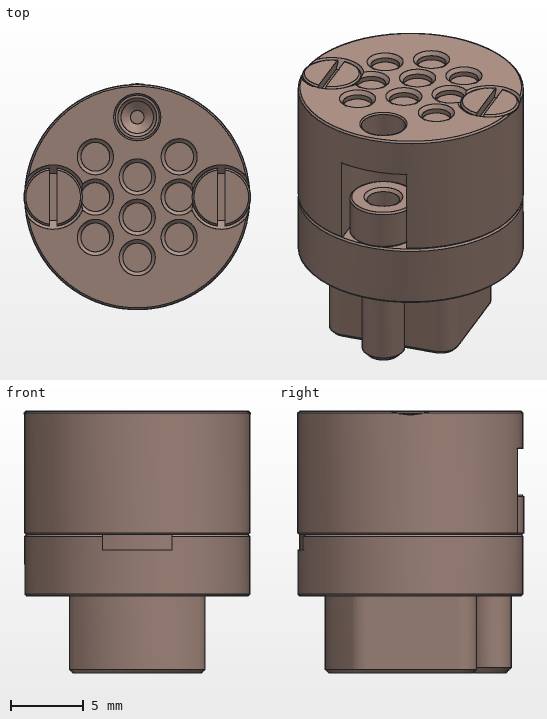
import cadquery as cq
import math

height = 18.03
stem_height = 5.32
seam_z = 9.54
key_depth = 1.06

body_radius = 7.75
edge_chamfer = 0.13
core_radius = body_radius - edge_chamfer
notch_width = 4.76

stem_radius = 5.86
stem_half_width = 4.67
stem_flat_y = 4.56
stem_corner_radius = 1.26
stem_chamfer = 0.27

jack_y = 5.5
pin_radius = 1.46
pin_chamfer = 0.4
knob_radius = 2.3
knob_height = 2.74
knob_chamfer = 0.13
window_top_depth = 2.56
bore_radius = 1.51
bore_chamfer = 0.1
thread_radius = 1.12
thread_chamfer = 0.22
thread_depth = 2.16
cone_tip_radius = 0.47
cone_slope = 31.0

contact_radius = 1.0
contact_chamfer = 0.25
contact_depth = 0.58
column_pitch = 2.88
row_pitch = 2.78

width_over_screws = 15.6
screw_x = 5.79
screw_radius = width_over_screws / 2 - screw_x
screw_top_chamfer = 0.13
countersink_radius = 2.22
slot_width = 0.52
slot_depth = 0.6


def cylinder(radius, z_low, z_high, x=0.0, y=0.0):
    """Vertical cylinder between two levels."""
    return cq.Workplane("XY", origin=(x, y, z_low)).circle(radius).extrude(z_high - z_low)


def frustum(low_radius, high_radius, z_low, z_high, x=0.0, y=0.0):
    """Vertical truncated cone between two levels."""
    cone = cq.Solid.makeCone(
        low_radius, high_radius, z_high - z_low, cq.Vector(x, y, z_low), cq.Vector(0, 0, 1)
    )
    return cq.Workplane(obj=cone)


def make_stem():
    """Stem with flat sides and back, a round front and rounded corners."""
    slab = (
        cq.Workplane("XY")
        .center(0, (stem_flat_y - stem_radius) / 2)
        .rect(2 * stem_half_width, stem_radius + stem_flat_y)
        .extrude(stem_height)
    )
    back = (
        cq.Workplane("XY")
        .center(0, stem_flat_y / 2)
        .rect(2 * stem_half_width, stem_flat_y)
        .extrude(stem_height)
    )
    stem = slab.intersect(cylinder(stem_radius, 0, stem_height).union(back)).clean()
    return stem.edges("|Z").fillet(stem_corner_radius).faces("<Z").chamfer(stem_chamfer)


def make_shells():
    """Flange and upper shell, parted by a chamfered groove."""
    flange = cylinder(body_radius, stem_height, seam_z).faces("<Z or >Z").chamfer(edge_chamfer)
    shell = cylinder(body_radius, seam_z, height).faces("<Z or >Z").chamfer(edge_chamfer)
    return flange.union(shell)


def make_key_notch():
    """Shallow notch in the flange rim on -Y, as deep as the core."""
    z_low = seam_z - key_depth
    block = (
        cq.Workplane("XY", origin=(0, -body_radius / 2, z_low))
        .rect(notch_width, body_radius)
        .extrude(key_depth)
    )
    return block.cut(cylinder(core_radius, z_low, seam_z))


def make_window():
    """Round-ended side window that houses the knob."""
    z_high = height - window_top_depth
    opening = (
        cq.Workplane("XY", origin=(0, jack_y + body_radius / 2, seam_z))
        .rect(notch_width, body_radius)
        .extrude(z_high - seam_z)
    )
    return opening.union(cylinder(notch_width / 2, seam_z, z_high, y=jack_y))


def make_jackscrew():
    """Knob resting on the flange and pin running down beside the stem."""
    knob = cylinder(knob_radius, seam_z, seam_z + knob_height, y=jack_y)
    knob = knob.faces("<Z or >Z").chamfer(knob_chamfer)
    pin = cylinder(pin_radius, 0, seam_z, y=jack_y).faces("<Z").chamfer(pin_chamfer)
    return knob.union(pin)


def make_jack_bore():
    """Access bore above the knob, then a narrower chamfered hole with a conical end."""
    knob_top = seam_z + knob_height
    thread_end = knob_top - thread_depth
    cone_depth = (thread_radius - cone_tip_radius) * math.tan(math.radians(cone_slope))
    bore = cylinder(bore_radius, knob_top, height, y=jack_y)
    mouth = frustum(
        bore_radius, bore_radius + bore_chamfer, height - bore_chamfer, height, y=jack_y
    )
    thread = cylinder(thread_radius, thread_end, knob_top, y=jack_y)
    thread_mouth = frustum(
        thread_radius, thread_radius + thread_chamfer, knob_top - thread_chamfer, knob_top, y=jack_y
    )
    cone = frustum(cone_tip_radius, thread_radius, thread_end - cone_depth, thread_end, y=jack_y)
    return bore.union(mouth).union(thread).union(thread_mouth).union(cone)


def make_contact_hole(x, y):
    """Blind contact hole with a countersunk mouth."""
    hole = cylinder(contact_radius, height - contact_depth, height, x, y)
    mouth_radius = contact_radius + contact_chamfer
    return hole.union(
        frustum(contact_radius, mouth_radius, height - contact_chamfer, height, x, y)
    )


def contact_points():
    """Three staggered columns of three contacts; the middle one sits half a row lower."""
    points = []
    for row in (-1, 0, 1):
        points.append((-column_pitch, row * row_pitch))
        points.append((0.0, (row - 0.5) * row_pitch))
        points.append((column_pitch, row * row_pitch))
    return points


def make_countersink(x):
    """45 degree countersink as deep as the screw slot."""
    low_radius = countersink_radius - slot_depth
    return frustum(low_radius, countersink_radius, height - slot_depth, height, x)


def make_screw_head(x):
    """Flush screw head filling its countersink, with a chamfered rim and a slot."""
    head = cylinder(screw_radius, height - slot_depth, height, x).faces(">Z").chamfer(screw_top_chamfer)
    slot = (
        cq.Workplane("XY", origin=(x, 0, height - slot_depth))
        .rect(slot_width, 2 * countersink_radius)
        .extrude(slot_depth)
    )
    return head.intersect(make_countersink(x)).cut(slot)


result = make_shells().union(make_stem())
result = result.cut(make_key_notch()).cut(make_window())
result = result.union(make_jackscrew()).cut(make_jack_bore())

for contact_x, contact_y in contact_points():
    result = result.cut(make_contact_hole(contact_x, contact_y))

for side in (-1, 1):
    result = result.cut(make_countersink(side * screw_x)).union(make_screw_head(side * screw_x))